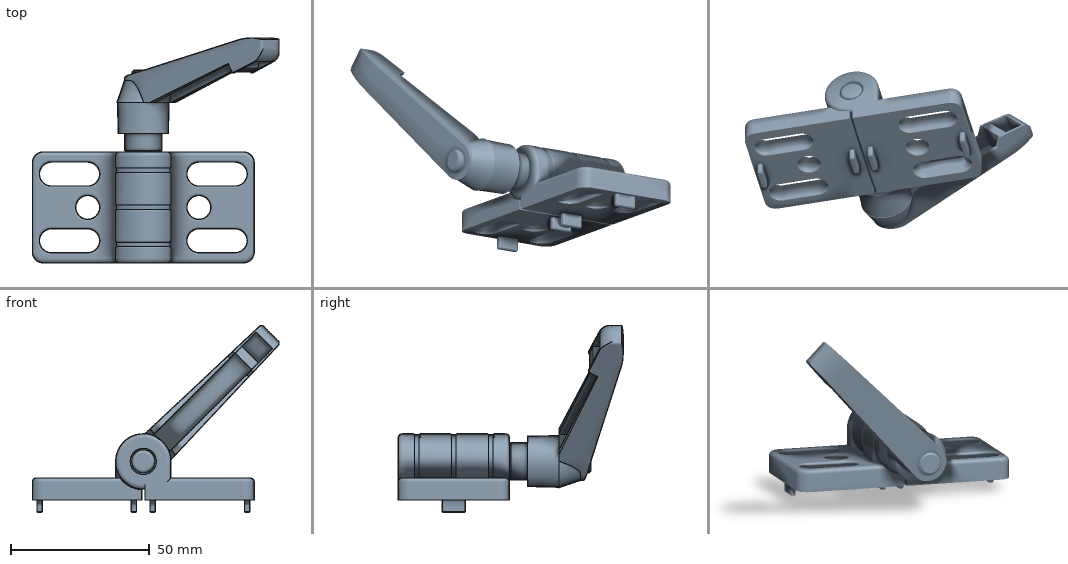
import cadquery as cq
import math


hinge_width = 79.95
hinge_depth = 40.0
plate_thickness = 8.0
corner_radius = 4.0
edge_radius = 1.5
half_gap = 0.5

hole_diameter = 8.5
hole_x = 20.0
slot_far_x = 33.1
slot_y = 12.0
hole_edge_radius = 0.8

tongue_x_positions = (3.4, 37.35)
tongue_thickness = 2.0
tongue_width = 8.4
tongue_height = 4.45
tongue_edge_radius = 0.7
tongue_chamfer = 0.4

pin_height = 14.0
knuckle_radius = 10.0
knuckle_clearance = 0.3
knuckle_inner_edge = 0.5
washer_radius = 9.6
washer_thickness = 1.6
half_washer = washer_thickness / 2
washer_pitch = hinge_depth / 3
half_depth = hinge_depth / 2

pin_radius = 4.2
pin_edge_radius = 1.25
pin_hole_chamfer = 0.5

neck_radius = 6.8
neck_chamfer = 0.5
hub_start = 26.6
hub_start_radius = 9.1
hub_end_radius = 9.3
rim_y = 37.8
rim_radius = 9.5
cap_end = 45.6
button_radius = 4.1
button_end = 49.45
button_chamfer = 0.7

lever_angle = 45
arm_length = 65.0
arm_root_half_width = 6.85
arm_tip_half_width = 4.8
tip_corner_radius = 1.1
arm_top_y = 61.0
crown_x = 59.4
crown_radius = 26.7
top_slope = math.radians(13.2)
underside_start = (9.9, rim_y)
underside_end = (48.4, 51.8)
hook_corner = (50.7, 48.5)
hook_end = (61.4, 52.5)
nose_end_y = 58.8
nose_middle = (64.4, 55.2)

pocket_half_width = 4.2
pocket_start_x = 9.5
rib_start_x = 51.0
rib_end_x = 54.4
rib_recess = 0.3
pocket_end_x = 61.6
web_thickness = 1.2


def y_cylinder(radius, y_start, y_end):
    """Cylinder on the pin axis between two places along Y."""
    axis_plane = cq.Plane(origin=(0, y_start, pin_height), xDir=(0, 0, 1), normal=(0, 1, 0))
    return cq.Workplane(axis_plane).circle(radius).extrude(y_end - y_start)


def drilled_plate():
    """Right half of the base plate with two slots, a round hole and softened top edges."""
    plate = (
        cq.Workplane("XY")
        .box(hinge_width, hinge_depth, plate_thickness, centered=(True, True, False))
        .edges("|Z").fillet(corner_radius)
        .faces(">Z").edges().fillet(edge_radius)
    )
    right_half = cq.Workplane("XY").box(
        hinge_width, hinge_depth, plate_thickness, centered=(False, True, False)
    ).translate((half_gap, 0, 0))
    slot_length = slot_far_x - hole_x + hole_diameter
    plate = (
        plate.intersect(right_half)
        .cut(cq.Workplane("XY").center(hole_x, 0).circle(hole_diameter / 2).extrude(plate_thickness))
        .cut(
            cq.Workplane("XY")
            .pushPoints([((hole_x + slot_far_x) / 2, y) for y in (-slot_y, slot_y)])
            .slot2D(slot_length, hole_diameter)
            .extrude(plate_thickness)
        )
    )
    hole_edges = [
        edge for wire in plate.faces(">Z").val().innerWires() for edge in wire.Edges()
    ]
    return plate.newObject(hole_edges).fillet(hole_edge_radius)


def tongue(x):
    """Locating tongue that stands below the plate at one place along X."""
    return (
        cq.Workplane("XY")
        .box(tongue_thickness, tongue_width, tongue_height, centered=(True, True, False))
        .edges("|Z").fillet(tongue_edge_radius)
        .faces("<Z").edges().chamfer(tongue_chamfer)
        .translate((x, 0, -tongue_height))
    )


def knuckle(y_start, y_end, front_radius):
    """Barrel and the upright block that carries it, rounded at both ends."""
    barrel = (
        y_cylinder(knuckle_radius, y_start, y_end)
        .faces("<Y").edges().fillet(front_radius)
        .faces(">Y").edges().fillet(knuckle_inner_edge)
    )
    block = (
        cq.Workplane("XY")
        .box(knuckle_radius - half_gap, y_end - y_start, pin_height, centered=False)
        .translate((half_gap, y_start, 0))
        .edges("|Z and >X and <Y").fillet(front_radius)
        .edges("|Z and >X and >Y").fillet(knuckle_inner_edge)
    )
    return barrel.union(block)


def leaf():
    """Right leaf: its knuckles are the front one and the third from the front."""
    front_knuckle_end = -washer_pitch - half_washer
    third_knuckle_start = half_washer
    third_knuckle_end = washer_pitch - half_washer
    relief_radius = knuckle_radius + knuckle_clearance
    body = drilled_plate()
    body = body.cut(y_cylinder(relief_radius, front_knuckle_end, third_knuckle_start))
    body = body.cut(y_cylinder(relief_radius, third_knuckle_end, half_depth))
    body = body.union(knuckle(-half_depth, front_knuckle_end, edge_radius))
    body = body.union(knuckle(third_knuckle_start, third_knuckle_end, knuckle_inner_edge))
    for x in tongue_x_positions:
        body = body.union(tongue(x))
    return body


def pin_end_groove():
    """Ring between the rounded end of the pin and the chamfered mouth of its hole."""
    front = -half_depth
    round_centre = pin_radius - pin_edge_radius
    round_middle = (
        round_centre + pin_edge_radius * math.cos(math.pi / 4),
        front + pin_edge_radius * (1 - math.sin(math.pi / 4)),
    )
    groove = (
        cq.Workplane("XY")
        .moveTo(round_centre, front)
        .threePointArc(round_middle, (pin_radius, front + pin_edge_radius))
        .lineTo(pin_radius, front + pin_hole_chamfer)
        .lineTo(pin_radius + pin_hole_chamfer, front)
        .close()
        .revolve(360, (0, 0, 0), (0, 1, 0))
    )
    return groove.translate((0, 0, pin_height))


def make_hinge():
    right_leaf = leaf()
    left_leaf = right_leaf.rotate((0, 0, 0), (0, 0, 1), 180)
    body = right_leaf.union(left_leaf)
    for y in (-washer_pitch, 0, washer_pitch):
        body = body.union(y_cylinder(washer_radius, y - half_washer, y + half_washer))
    return body.cut(pin_end_groove())


def lever_hub():
    """Neck, hub, tapered cap and button, turned about the pin axis."""
    half_section = [
        (0, half_depth),
        (neck_radius - neck_chamfer, half_depth),
        (neck_radius, half_depth + neck_chamfer),
        (neck_radius, hub_start),
        (hub_start_radius, hub_start),
        (hub_end_radius, rim_y),
        (rim_radius, rim_y),
        (arm_root_half_width, cap_end),
        (button_radius, cap_end),
        (button_radius, button_end - button_chamfer),
        (button_radius - button_chamfer, button_end),
        (0, button_end),
    ]
    return cq.Workplane("XY").polyline(half_section).close().revolve(360, (0, 0, 0), (0, 1, 0))


def crown_point(x, inset):
    """Point on the round crown of the arm, or on a parallel curve inset below it."""
    radius = crown_radius - inset
    return (x, arm_top_y - crown_radius + math.sqrt(radius**2 - (x - crown_x) ** 2))


def slope_tangent_x(inset):
    """Where the sloping top of the arm runs into the crown."""
    return crown_x - (crown_radius - inset) * math.sin(top_slope)


def slope_point(x, inset):
    """Point on the sloping top of the arm, or on a parallel line inset below it."""
    tangent_x, tangent_y = crown_point(slope_tangent_x(inset), inset)
    return (x, tangent_y - (tangent_x - x) * math.tan(top_slope))


def arm_blank():
    """Arm without pockets: its side profile trimmed to a tapering planform with a round root."""
    profile = (
        cq.Workplane("XY")
        .moveTo(-arm_root_half_width, rim_y)
        .lineTo(*underside_start)
        .lineTo(*underside_end)
        .lineTo(*hook_corner)
        .lineTo(*hook_end)
        .threePointArc(nose_middle, (arm_length, nose_end_y))
        .lineTo(*crown_point(arm_length, 0))
        .threePointArc(crown_point(crown_x, 0), crown_point(slope_tangent_x(0), 0))
        .lineTo(*slope_point(-arm_root_half_width, 0))
        .close()
        .extrude(arm_root_half_width, both=True)
    )
    planform = (
        cq.Workplane("XZ")
        .moveTo(0, arm_root_half_width)
        .threePointArc((-arm_root_half_width, 0), (0, -arm_root_half_width))
        .lineTo(arm_length, -arm_tip_half_width)
        .lineTo(arm_length, arm_tip_half_width)
        .close()
        .extrude(-arm_top_y)
        .edges("|Y and >X").fillet(tip_corner_radius)
    )
    return profile.intersect(planform)


def arm_pockets():
    """Main pocket and finger pocket, with a recessed rib between them."""
    space = (
        cq.Workplane("XY")
        .moveTo(pocket_start_x, rim_y)
        .lineTo(pocket_end_x, rim_y)
        .lineTo(*crown_point(pocket_end_x, web_thickness))
        .threePointArc(
            crown_point(crown_x, web_thickness),
            crown_point(slope_tangent_x(web_thickness), web_thickness),
        )
        .lineTo(*slope_point(pocket_start_x, web_thickness))
        .close()
        .extrude(pocket_half_width, both=True)
    )
    hook_slope = (hook_end[1] - hook_corner[1]) / (hook_end[0] - hook_corner[0])

    def rib_face(x):
        return (x, hook_corner[1] + rib_recess + hook_slope * (x - hook_corner[0]))

    rib = (
        cq.Workplane("XY")
        .moveTo(*rib_face(rib_start_x))
        .lineTo(*rib_face(rib_end_x))
        .lineTo(rib_end_x, arm_top_y)
        .lineTo(rib_start_x, arm_top_y)
        .close()
        .extrude(pocket_half_width, both=True)
    )
    return space.cut(rib)


def make_lever():
    body = arm_blank().cut(arm_pockets()).union(lever_hub())
    return body.rotate((0, 0, 0), (0, 1, 0), -lever_angle).translate((0, 0, pin_height))


hinge = make_hinge()
lever = make_lever()

result = cq.Compound.makeCompound([hinge.val(), lever.val()])